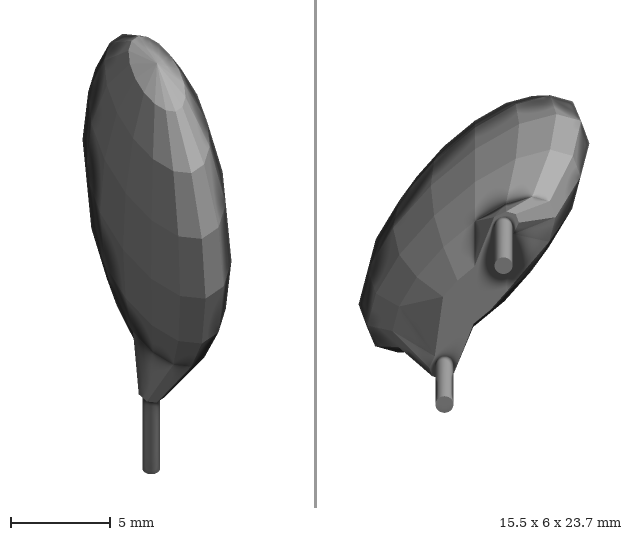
import cadquery as cq
import math


overall_width = 15.5
overall_depth = 6.0
half_width = overall_width / 2
half_depth = overall_depth / 2
half_height = 9.25
total_height = 23.7
lead_length = 5.2
center_z = total_height - half_height

meridian_count = 16
meridian_step = 360 / meridian_count
latitude_step = 22.5
steps_to_neck = 6
steps_to_foot = 7

lead_diameter = 0.9
lead_x = 3.75
lead_y = 1.55
lead_sides = (1, -1)

foot_shift_x = 1.65
foot_shift_y = lead_y
shifted_meridians = 2
corner_half_depth = 0.66


def ring_point(step, meridian):
    """Point on the ellipsoid, counted in latitude steps down from the top pole."""
    polar = math.radians(step * latitude_step)
    around = math.radians(meridian * meridian_step)
    return cq.Vector(
        half_width * math.sin(polar) * math.cos(around),
        half_depth * math.sin(polar) * math.sin(around),
        center_z + half_height * math.cos(polar),
    )


def foot_point(meridian):
    """Point of the flat foot outline: a ring whose two ends are shifted over the leads."""
    half_turn = meridian_count // 2
    ring = ring_point(steps_to_foot, meridian)
    from_x_axis = min(meridian % half_turn, -meridian % half_turn)
    if from_x_axis > shifted_meridians:
        return cq.Vector(ring.x, ring.y, lead_length)

    side = math.copysign(1, ring.x)
    depth = max(-corner_half_depth, min(corner_half_depth, ring.y))
    return cq.Vector(ring.x + side * foot_shift_x, depth - side * foot_shift_y, lead_length)


def flat_face(points):
    return cq.Face.makeFromWires(cq.Wire.makePolygon(points, close=True))


def band_faces(upper, lower):
    """Triangles between two rings, with every diagonal running down to the next meridian."""
    faces = []
    for i in range(meridian_count):
        j = (i + 1) % meridian_count
        faces.append(flat_face([upper[i], lower[i], lower[j]]))
        faces.append(flat_face([upper[i], lower[j], upper[j]]))
    return faces


def make_body():
    meridians = range(meridian_count)
    top_pole = ring_point(0, 0)
    rings = [[ring_point(step, m) for m in meridians] for step in range(1, steps_to_neck + 1)]
    foot = [foot_point(m) for m in meridians]
    rings.append(foot)

    faces = [flat_face([top_pole, rings[0][m - 1], rings[0][m]]) for m in meridians]
    for upper, lower in zip(rings, rings[1:]):
        faces += band_faces(upper, lower)
    faces.append(flat_face(foot[::-1]))
    return cq.Solid.makeSolid(cq.Shell.makeShell(faces))


def make_lead(side):
    foot_of_lead = cq.Vector(side * lead_x, -side * lead_y, 0)
    return cq.Solid.makeCylinder(lead_diameter / 2, lead_length, foot_of_lead)


body = make_body()
leads = [make_lead(side) for side in lead_sides]

result = cq.Compound.makeCompound([body, *leads])